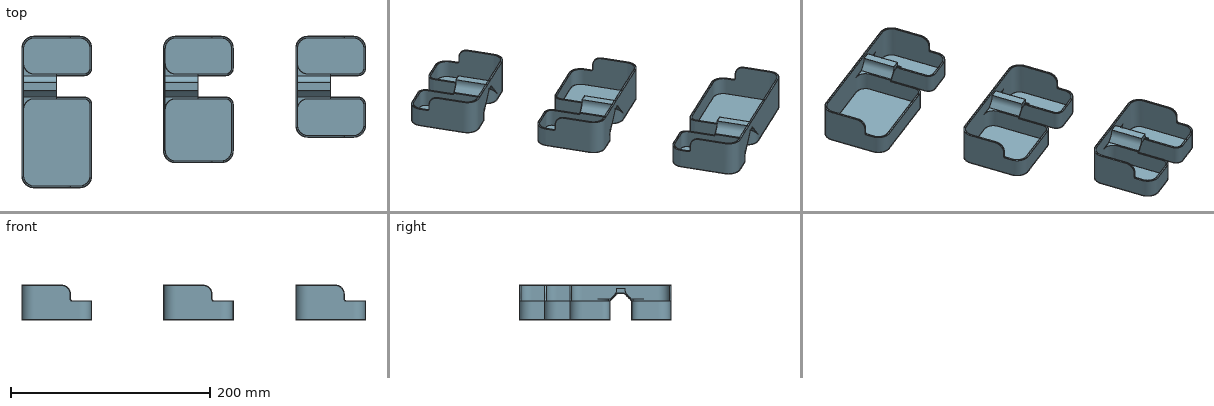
import cadquery as cq
import math

total_width = 345
tray_width = 70.0
tray_height = 35.0
wall = 1.7
outer_radius = 12.0

back_length = 39.5
front_lengths = [91.0, 66.0, 40.5]
tray_positions = [0, 142.0, total_width - tray_width]

slot_width = 21.5
half_slot = slot_width / 2
slot_corner_radius = 7.5

rim_height = 19.0
step_x = 48.5
step_top_radius = 9.0
step_foot_radius = 2.0

bridge_width = 35.0
arch_height = 26.5
arch_spring = 7.2
half_arch = half_slot + outer_radius
arch_crown = half_arch - (arch_height - arch_spring)
deck_height = rim_height + wall
hump_height = 31.7
flank_run = 4.0
flank_top = half_slot - flank_run
hump_crown = 4.0
sweep_run = flank_top - hump_crown
sweep_rise = sweep_run / math.tan(math.radians(45 / 2))


def tray_blank(front_length):
    """Solid block with rounded corners and the open slot cut in from +X."""
    back = half_slot + back_length
    front = -half_slot - front_length
    block = (
        cq.Workplane("XY", origin=(tray_width / 2, (back + front) / 2))
        .rect(tray_width, back - front)
        .extrude(tray_height)
        .edges("|Z")
        .fillet(outer_radius)
    )
    slot = (
        cq.Workplane("XY", origin=(bridge_width, -half_slot))
        .rect(tray_width, slot_width, centered=False)
        .extrude(tray_height)
    )
    mouth = cq.selectors.BoxSelector(
        (tray_width - wall, -half_slot - wall, 0), (tray_width + wall, half_slot + wall, tray_height)
    )
    return block.cut(slot).edges("|Z").edges(mouth).fillet(slot_corner_radius)


def pocket(length, side):
    """Space inside the back (side = 1) or front (side = -1) pocket."""
    middle = side * (half_slot + length / 2)
    space = (
        cq.Workplane("XY", origin=(tray_width / 2, middle, wall))
        .rect(tray_width - 2 * wall, length - 2 * wall)
        .extrude(tray_height)
    )
    slot_end, outer_end = ("<Y", ">Y") if side > 0 else (">Y", "<Y")
    space = space.edges("|Z").edges(slot_end).edges(">X").fillet(slot_corner_radius - wall)
    space = space.edges("|Z").edges("<X").fillet(outer_radius - wall)
    return space.edges("|Z").edges(outer_end).edges(">X").fillet(outer_radius - wall)


def space_above_bridge():
    """Space over the deck and the hump, and over the low rim beyond the bridge."""
    half_hump = (
        cq.Workplane("YZ")
        .moveTo(-half_slot, deck_height)
        .lineTo(-flank_top, deck_height + flank_run)
        .tangentArcPoint((sweep_run, sweep_rise))
        .lineTo(-hump_crown, hump_height)
        .lineTo(0, hump_height)
        .lineTo(0, deck_height)
        .close()
        .extrude(bridge_width)
    )
    hump = half_hump.union(half_hump.mirror("XZ"))
    over_deck = (
        cq.Workplane("XY", origin=(wall, -half_arch, deck_height))
        .rect(bridge_width - wall, 2 * half_arch, centered=False)
        .extrude(tray_height)
    )
    over_rim = (
        cq.Workplane("XY", origin=(bridge_width, -half_arch, rim_height))
        .rect(tray_width, 2 * half_arch, centered=False)
        .extrude(tray_height)
    )
    return over_deck.cut(hump).union(over_rim)


def arch():
    """Passage under the bridge, widening round the pockets' corners towards -X."""
    plan = (
        cq.Workplane("XY")
        .moveTo(0, -half_arch)
        .radiusArc((outer_radius, -half_slot), outer_radius)
        .lineTo(tray_width, -half_slot)
        .lineTo(tray_width, half_slot)
        .lineTo(outer_radius, half_slot)
        .radiusArc((0, half_arch), outer_radius)
        .close()
        .extrude(arch_height)
    )
    foot = arch_crown + arch_height
    roof = (
        cq.Workplane("YZ")
        .moveTo(-foot, 0)
        .lineTo(-arch_crown, arch_height)
        .lineTo(arch_crown, arch_height)
        .lineTo(foot, 0)
        .close()
        .extrude(tray_width)
    )
    return plan.intersect(roof)


def step(front_length):
    """Space over the low +X part of the walls."""
    back = half_slot + back_length
    return (
        cq.Workplane("XZ", origin=(0, back, 0))
        .moveTo(step_x - step_top_radius, tray_height)
        .radiusArc((step_x, tray_height - step_top_radius), step_top_radius)
        .lineTo(step_x, rim_height + step_foot_radius)
        .radiusArc((step_x + step_foot_radius, rim_height), -step_foot_radius)
        .lineTo(tray_width, rim_height)
        .lineTo(tray_width, tray_height)
        .close()
        .extrude(back_length + slot_width + front_length)
    )


def tray(front_length):
    """One complete tray, a single solid."""
    return (
        tray_blank(front_length)
        .cut(pocket(back_length, 1))
        .cut(pocket(front_length, -1))
        .cut(space_above_bridge())
        .cut(step(front_length))
        .cut(arch())
    )


trays = [
    tray(front_length).translate((x, 0, 0)).solids().val()
    for front_length, x in zip(front_lengths, tray_positions)
]
result = cq.Compound.makeCompound(trays)